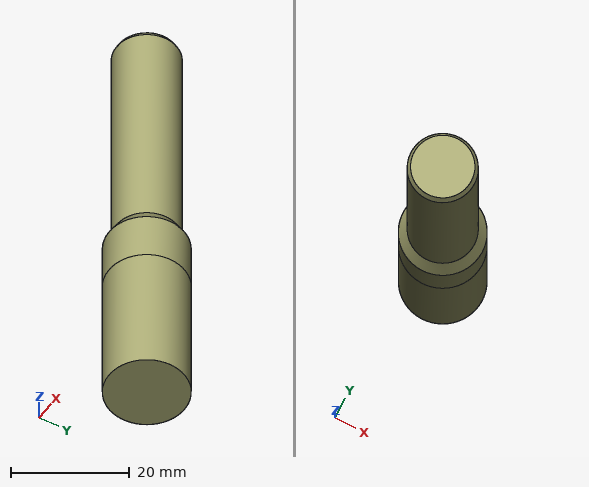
import cadquery as cq

total_length = 83.0
body_diameter = 15.0
shank_diameter = 12.0

joint_height = 26.0
cone_start_height = 35.35
cone_end_height = 37.9

chamfer_length = 1.1
chamfer_width = 0.6

body_radius = body_diameter / 2
shank_radius = shank_diameter / 2


def make_tip():
    """Plain cylindrical lower body, ending at the flat joint."""
    return cq.Workplane("XY").circle(body_radius).extrude(joint_height)


def make_holder():
    """Upper body: collar, conical shoulder and chamfered shank, revolved about Z."""
    half_profile = (
        cq.Workplane("XZ")
        .moveTo(0, joint_height)
        .lineTo(body_radius, joint_height)
        .lineTo(body_radius, cone_start_height)
        .lineTo(shank_radius, cone_end_height)
        .lineTo(shank_radius, total_length - chamfer_length)
        .lineTo(shank_radius - chamfer_width, total_length)
        .lineTo(0, total_length)
        .close()
    )
    return half_profile.revolve(360, (0, 0, 0), (0, 1, 0))


tip = make_tip()
holder = make_holder()

result = cq.Compound.makeCompound([tip.val(), holder.val()])